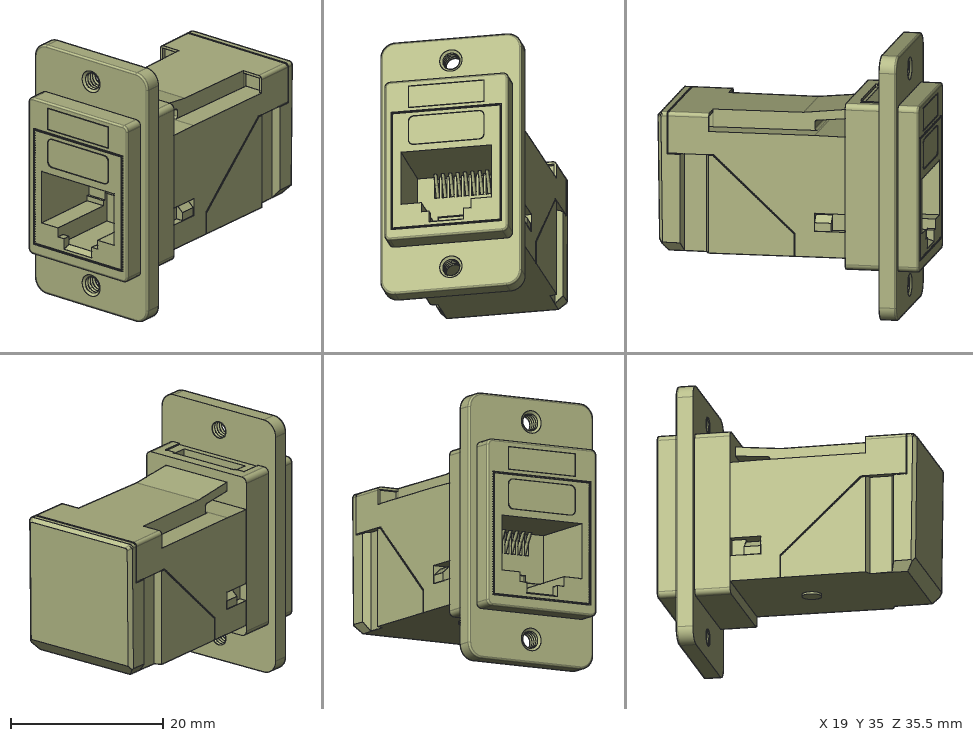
import cadquery as cq


PLATE_WIDTH = 19.0
PLATE_HEIGHT = 35.5
PLATE_FRONT = 2.8
PLATE_REAR = 5.1
PLATE_CORNER = 2.0
EDGE_ROUND = 0.25

SCREW_Z = 14.55
THREAD_MINOR = 2.27
THREAD_MAJOR = 3.0
THREAD_PITCH = 0.5

BEZEL_WIDTH = 16.65
BEZEL_HEIGHT = 22.3
BEZEL_REAR = 9.87
BEZEL_CORNER = 0.75
BEZEL_TOP = BEZEL_HEIGHT / 2

LABEL_WIDTH = 10.2
LABEL_TOP = 10.33
LABEL_BOTTOM = 7.3
BADGE_TOP = 6.07
BADGE_BOTTOM = 2.05
BADGE_CORNER = 0.7
MARK_DEPTH = 0.1

GAP_WIDTH = 0.18
GAP_DEPTH = 0.15
JACK_WIDTH = 14.55
JACK_TOP = 6.65
JACK_BOTTOM = -9.5

SOCKET_WIDTH = 12.18
SOCKET_TOP = 1.05
SOCKET_FLOOR = -6.3
SOCKET_DEPTH = 9.95
SOCKET_STEP = 0.35
SOCKET_RISER_TOP = -5.57
CLIP_WIDTH = 6.67
CLIP_FLOOR = -8.7
CLIP_LIP_TOP = -7.55
CLIP_LIP_DEPTH = 1.05
CLIP_TOP = -4.55
CLIP_NOTCH_WIDTH = 4.65
CLIP_NOTCH_FLOOR = -9.05

CONTACT_COUNT = 8
CONTACT_PITCH = 1.0
CONTACT_SLOT_WIDTH = 0.65
CONTACT_BOTTOM = -1.85
CONTACT_SLOT_DEPTH = 0.7
CONTACT_DIAMETER = 0.45
CONTACT_ELBOW_Z = -0.1
CONTACT_FOOT_RUN = 0.9
CONTACT_RISE_RUN = 0.9

LATCH_FRONT = 6.0
LATCH_TIP = 7.9
LATCH_REAR = 8.38
LATCH_LEDGE_DEPTH = 0.35
LATCH_RAMP_DEPTH = 1.95
LATCH_RELIEF_WIDTH = 13.15
LATCH_RELIEF_REAR = 8.13
LATCH_RELIEF_DEPTH = 0.18

BODY_REAR = 35.0
BODY_HALF_FRONT = 8.3
BODY_HALF_REAR = 8.6
BODY_TOP = 9.2
BODY_BOTTOM = -9.55
BODY_TOP_ROUND = 0.5
REAR_CHAMFER = 0.5
REAR_FOOT_Y = 34.8
REAR_FOOT_Z = -7.9
REAR_FOOT_END = 33.62

SHOULDER_Z = 6.8
SHOULDER_FRONT_Z = 6.75
SHOULDER_BREAK = 13.95
SHOULDER_REAR = 28.1
ARM_HALF_FRONT = 5.08
ARM_HALF_REAR = 5.43
ARM_BEND = 16.05
ARM_FRONT_TOP = 9.85
ARM_FRONT_UNDERSIDE = 8.6
ARM_SLOT_REAR = 14.52
ARM_SLOT_TOP = 8.15
ARM_SLOT_ROUND = 0.3

LUG_WALL = 0.35
LUG_POCKET_DEPTH = 0.55

SEAM_WIDTH = 0.1
SEAM_FLOOR_X = 8.3
SEAM_TOP_DEPTH = 0.1
CAP_FRONT = 33.6
CAP_LEDGE_Z = 3.7
CAP_SLOPE_TOP_Y = 27.5
CAP_SLOPE_END_Y = 16.58
CAP_SLOPE_END_Z = -6.5
GRIP_FRONT = 28.15
GRIP_REAR = 31.95
GRIP_WALL_RUN = 0.43
GRIP_DEPTH = 1.0
CAP_SIDE_CHAMFER_X = 1.05
CAP_SIDE_CHAMFER_Z = 1.28

WINDOW_REAR = 14.0
WINDOW_TOP = -3.65
WINDOW_BOTTOM = -6.07
WINDOW_DEPTH = 1.05
CATCH_FRONT = 11.75
CATCH_TOP = -4.0
CATCH_SIDE_TOP = -4.95
CATCH_INSET = 0.07

PAD_DIAMETER = 2.6
PAD_Y = 19.05
PAD_HEIGHT = 0.3

PAST = 1.78
PICK_MARGIN = 0.35


def block(width, y_start, y_end, z_bottom, z_top):
    """Box centred on X between the given Y and Z limits."""
    size = (width, y_end - y_start, z_top - z_bottom)
    box = cq.Workplane("XY").box(*size, centered=(True, False, False))
    return box.translate((0, y_start, z_bottom))


def side_prism(points, half_width):
    """Prism with a Y-Z outline, centred on X."""
    return cq.Workplane("YZ").polyline(points).close().extrude(half_width, both=True)


def plan_prism(points, z_bottom, z_top):
    """Prism with an X-Y outline."""
    plane = cq.Workplane("XY", origin=(0, 0, z_bottom))
    return plane.polyline(points).close().extrude(z_top - z_bottom)


def on_both_sides(cutter):
    """The given shape together with its mirror image across the middle."""
    return cutter.union(cutter.mirror("YZ"))


def body_half_width(y):
    """Half width of the body at y; it widens evenly from the bezel to the rear."""
    share = (y - BEZEL_REAR) / (BODY_REAR - BEZEL_REAR)
    return BODY_HALF_FRONT + (BODY_HALF_REAR - BODY_HALF_FRONT) * share


def rounded_slab(width, height, corner, y_start, y_end):
    """Upright slab with rounded corners and a rounded front edge."""
    slab = block(width, y_start, y_end, -height / 2, height / 2).edges("|Y").fillet(corner)
    return slab.faces("<Y").edges().fillet(EDGE_ROUND)


def threaded_hole():
    """Cutter for one screw hole, with V-shaped thread rings."""
    minor = THREAD_MINOR / 2
    major = THREAD_MAJOR / 2
    turns = int((PLATE_REAR - PLATE_FRONT) / THREAD_PITCH)
    outline = cq.Workplane("XY").moveTo(0, PLATE_FRONT - THREAD_PITCH / 2)
    outline = outline.lineTo(major, PLATE_FRONT - THREAD_PITCH / 2).lineTo(major, PLATE_FRONT)
    for turn in range(turns):
        valley = PLATE_FRONT + (turn + 0.5) * THREAD_PITCH
        outline = outline.lineTo(minor, valley).lineTo(major, valley + THREAD_PITCH / 2)
    end = PLATE_FRONT + turns * THREAD_PITCH
    outline = outline.lineTo(minor, end + THREAD_PITCH / 2).lineTo(minor, PLATE_REAR + PAST)
    return outline.lineTo(0, PLATE_REAR + PAST).close().revolve(360, (0, 0, 0), (0, 1, 0))


def front_panel():
    """Plate and bezel with the screw holes."""
    plate = rounded_slab(PLATE_WIDTH, PLATE_HEIGHT, PLATE_CORNER, PLATE_FRONT, PLATE_REAR)
    for z in (-SCREW_Z, SCREW_Z):
        plate = plate.cut(threaded_hole().translate((0, 0, z)))
    return plate.union(rounded_slab(BEZEL_WIDTH, BEZEL_HEIGHT, BEZEL_CORNER, 0, BEZEL_REAR))


def jack_body():
    """Main body with its spring arm, before the side details are cut."""
    outline = [
        (BEZEL_REAR, BODY_BOTTOM),
        (REAR_FOOT_END, BODY_BOTTOM),
        (REAR_FOOT_Y, REAR_FOOT_Z),
        (BODY_REAR, BODY_TOP - REAR_CHAMFER),
        (BODY_REAR - REAR_CHAMFER, BODY_TOP),
        (ARM_BEND, BODY_TOP),
        (BEZEL_REAR, ARM_FRONT_TOP),
    ]
    plan = [
        (-BODY_HALF_FRONT, BEZEL_REAR),
        (BODY_HALF_FRONT, BEZEL_REAR),
        (BODY_HALF_REAR, BODY_REAR),
        (-BODY_HALF_REAR, BODY_REAR),
    ]
    body = side_prism(outline, BODY_HALF_REAR + PAST)
    body = body.intersect(plan_prism(plan, BODY_BOTTOM - PAST, ARM_FRONT_TOP + PAST))
    rear_sides = cq.selectors.BoxSelector(
        (-PLATE_WIDTH, REAR_FOOT_END, REAR_FOOT_Z + PICK_MARGIN),
        (PLATE_WIDTH, BODY_REAR + PICK_MARGIN, BODY_TOP - REAR_CHAMFER - PICK_MARGIN),
    )
    body = body.edges(rear_sides).edges("not |X").chamfer(REAR_CHAMFER)
    top_sides = cq.selectors.BoxSelector(
        (-PLATE_WIDTH, ARM_BEND, BODY_TOP - PICK_MARGIN),
        (PLATE_WIDTH, BODY_REAR, BODY_TOP + PICK_MARGIN),
    )
    body = body.edges(top_sides).edges("not |X").edges("not |Z").fillet(BODY_TOP_ROUND)
    return body.cut(shoulders()).cut(lug_pockets()).cut(arm_slot())


def shoulders():
    """Open space on each side of the spring arm."""
    plan = [
        (ARM_HALF_FRONT, BEZEL_REAR),
        (ARM_HALF_REAR, SHOULDER_REAR),
        (BODY_HALF_REAR + PAST, SHOULDER_REAR),
        (BODY_HALF_REAR + PAST, BEZEL_REAR),
    ]
    top = ARM_FRONT_TOP + PAST
    outline = [
        (BEZEL_REAR, SHOULDER_FRONT_Z),
        (SHOULDER_BREAK, SHOULDER_Z),
        (SHOULDER_REAR, SHOULDER_Z),
        (SHOULDER_REAR, top),
        (BEZEL_REAR, top),
    ]
    space = plan_prism(plan, SHOULDER_FRONT_Z, top)
    return on_both_sides(space.intersect(side_prism(outline, BODY_HALF_REAR + PAST)))


def lug_pockets():
    """Pocket in the wall behind each shoulder, open towards the front."""
    outer = body_half_width(SHOULDER_REAR) - LUG_WALL
    back = SHOULDER_REAR + LUG_POCKET_DEPTH
    pockets = block(2 * outer, SHOULDER_REAR, back, SHOULDER_Z, BODY_TOP - LUG_WALL)
    return pockets.cut(block(2 * ARM_HALF_REAR, SHOULDER_REAR, back, SHOULDER_Z, BODY_TOP))


def arm_slot():
    """Gap that frees the front of the spring arm."""
    outline = [
        (BEZEL_REAR, SHOULDER_FRONT_Z),
        (SHOULDER_BREAK, SHOULDER_Z),
        (ARM_SLOT_REAR, SHOULDER_Z),
        (ARM_SLOT_REAR, ARM_SLOT_TOP),
        (BEZEL_REAR, ARM_FRONT_UNDERSIDE),
    ]
    return side_prism(outline, BODY_HALF_REAR + PAST).edges(">Y and |X").fillet(ARM_SLOT_ROUND)


def cap_seam():
    """Narrow seam around the rear cap, on both sides and across the top."""
    past_rear = BODY_REAR + PAST
    past_bottom = BODY_BOTTOM - PAST
    past_top = BODY_TOP + PAST
    cap = [
        (CAP_FRONT, past_top),
        (CAP_FRONT, CAP_LEDGE_Z),
        (CAP_SLOPE_TOP_Y, CAP_LEDGE_Z),
        (CAP_SLOPE_END_Y, CAP_SLOPE_END_Z),
        (CAP_SLOPE_END_Y, past_bottom),
        (past_rear, past_bottom),
        (past_rear, past_top),
    ]
    plane = cq.Workplane("YZ", origin=(SEAM_FLOOR_X, 0, 0))
    outer = plane.polyline(cap).close().extrude(PAST)
    inner = plane.polyline(cap).close().offset2D(-SEAM_WIDTH).extrude(PAST)
    top_line = block(
        PLATE_WIDTH, CAP_FRONT, CAP_FRONT + SEAM_WIDTH, BODY_TOP - SEAM_TOP_DEPTH, past_top
    )
    return on_both_sides(outer.cut(inner)).union(top_line)


def finger_grips():
    """Upright recess in each side of the cap."""
    x_out = BODY_HALF_REAR + PAST
    x_face = body_half_width(GRIP_REAR)
    x_floor = x_face - GRIP_DEPTH
    plan = [
        (x_out, GRIP_FRONT),
        (x_face, GRIP_FRONT),
        (x_floor, GRIP_FRONT + GRIP_WALL_RUN),
        (x_floor, GRIP_REAR - GRIP_WALL_RUN),
        (x_face, GRIP_REAR),
        (x_out, GRIP_REAR),
    ]
    return on_both_sides(plan_prism(plan, BODY_BOTTOM - PAST, CAP_LEDGE_Z))


def cap_side_chamfers():
    """Bevel along the lower side edges of the cap, behind the grips."""
    middle = (GRIP_FRONT + GRIP_REAR) / 2
    corner = [
        (BODY_HALF_REAR, BODY_BOTTOM),
        (BODY_HALF_REAR - CAP_SIDE_CHAMFER_X, BODY_BOTTOM),
        (BODY_HALF_REAR, BODY_BOTTOM + CAP_SIDE_CHAMFER_Z),
    ]
    plane = cq.Workplane("XZ", origin=(0, middle, 0))
    return on_both_sides(plane.polyline(corner).close().extrude(middle - BODY_REAR - PAST))


def side_windows():
    """Window in each side with a ramped catch, open across the body above the catch."""
    x_out = BODY_HALF_REAR + PAST
    x_floor = BODY_HALF_FRONT - WINDOW_DEPTH
    x_catch = BODY_HALF_FRONT - CATCH_INSET
    window = block(2 * x_out, BEZEL_REAR, WINDOW_REAR, WINDOW_BOTTOM, WINDOW_TOP)
    window = window.cut(block(2 * x_floor, BEZEL_REAR, WINDOW_REAR, WINDOW_BOTTOM, WINDOW_TOP))
    catch_outline = [
        (0, WINDOW_BOTTOM),
        (x_catch, WINDOW_BOTTOM),
        (x_catch, CATCH_SIDE_TOP),
        (x_floor, CATCH_TOP),
        (0, CATCH_TOP),
    ]
    plane = cq.Workplane("XZ", origin=(0, CATCH_FRONT, 0))
    catch = plane.polyline(catch_outline).close().extrude(CATCH_FRONT - WINDOW_REAR)
    opening = block(2 * x_out, CATCH_FRONT, WINDOW_REAR, CATCH_TOP, WINDOW_TOP)
    return window.cut(on_both_sides(catch)).union(opening)


def front_marks():
    """Label window, badge field and the gap around the jack."""
    label = block(LABEL_WIDTH, -PAST, MARK_DEPTH, LABEL_BOTTOM, LABEL_TOP)
    badge = block(LABEL_WIDTH, -PAST, MARK_DEPTH, BADGE_BOTTOM, BADGE_TOP)
    badge = badge.edges("|Y").fillet(BADGE_CORNER)
    gap = block(
        JACK_WIDTH + 2 * GAP_WIDTH, -PAST, GAP_DEPTH, JACK_BOTTOM - GAP_WIDTH, JACK_TOP + GAP_WIDTH
    )
    gap = gap.cut(block(JACK_WIDTH, -PAST, GAP_DEPTH, JACK_BOTTOM, JACK_TOP))
    return label.union(badge).union(gap)


def latch_opening():
    """Opening in the bezel top with a ramp, inside a shallow relief."""
    ledge = BEZEL_TOP - LATCH_LEDGE_DEPTH
    outline = [
        (LATCH_FRONT, BEZEL_TOP + PAST),
        (LATCH_FRONT, BEZEL_TOP - LATCH_RAMP_DEPTH),
        (LATCH_TIP, ledge),
        (LATCH_REAR, ledge),
        (LATCH_REAR, BEZEL_TOP + PAST),
    ]
    relief = block(
        LATCH_RELIEF_WIDTH,
        PLATE_REAR,
        LATCH_RELIEF_REAR,
        BEZEL_TOP - LATCH_RELIEF_DEPTH,
        BEZEL_TOP + PAST,
    )
    return relief.union(side_prism(outline, LABEL_WIDTH / 2))


def plug_socket():
    """Socket for the plug, its clip channel and the contact slots."""
    back = SOCKET_DEPTH
    riser_back = back - SOCKET_STEP
    clip_back = back + SOCKET_STEP
    socket = block(SOCKET_WIDTH, -PAST, back, SOCKET_RISER_TOP, SOCKET_TOP)
    socket = socket.union(block(SOCKET_WIDTH, -PAST, riser_back, SOCKET_FLOOR, SOCKET_TOP))
    socket = socket.union(block(CLIP_WIDTH, -PAST, clip_back, CLIP_LIP_TOP, CLIP_TOP))
    socket = socket.union(block(CLIP_WIDTH, CLIP_LIP_DEPTH, clip_back, CLIP_FLOOR, CLIP_TOP))
    notch_outline = [
        (-PAST, CLIP_LIP_TOP),
        (-PAST, CLIP_NOTCH_FLOOR),
        (0, CLIP_NOTCH_FLOOR),
        (CLIP_LIP_DEPTH, CLIP_FLOOR),
        (CLIP_LIP_DEPTH, CLIP_LIP_TOP),
    ]
    socket = socket.union(side_prism(notch_outline, CLIP_NOTCH_WIDTH / 2))
    slot = block(
        CONTACT_SLOT_WIDTH, riser_back, back + CONTACT_SLOT_DEPTH, CONTACT_BOTTOM, SOCKET_TOP
    )
    for x in contact_places():
        socket = socket.union(slot.translate((x, 0, 0)))
    return socket


def contact_places():
    """X positions of the evenly spaced contacts."""
    middle = (CONTACT_COUNT - 1) / 2
    return [(index - middle) * CONTACT_PITCH for index in range(CONTACT_COUNT)]


def contacts():
    """Bent contact wires that rise forwards from their slots into the socket top."""
    foot_y = SOCKET_DEPTH + CONTACT_SLOT_DEPTH
    elbow_y = foot_y - CONTACT_FOOT_RUN
    path = cq.Workplane("YZ").polyline(
        [
            (foot_y, CONTACT_BOTTOM),
            (elbow_y, CONTACT_ELBOW_Z),
            (elbow_y - CONTACT_RISE_RUN, SOCKET_TOP + CONTACT_DIAMETER / 2),
        ]
    )
    direction = (0, -CONTACT_FOOT_RUN, CONTACT_ELBOW_Z - CONTACT_BOTTOM)
    foot = cq.Plane(origin=(0, foot_y, CONTACT_BOTTOM), xDir=(1, 0, 0), normal=direction)
    wire = cq.Workplane(foot).circle(CONTACT_DIAMETER / 2).sweep(path, transition="round")
    wires = cq.Workplane("XY")
    for x in contact_places():
        wires = wires.add(wire.translate((x, 0, 0)))
    return wires.combine()


def pad():
    """Round pad under the body."""
    plane = cq.Workplane("XY", origin=(0, PAD_Y, BODY_BOTTOM - PAD_HEIGHT))
    return plane.circle(PAD_DIAMETER / 2).extrude(2 * PAD_HEIGHT)


body = jack_body()
for cutter in (cap_seam(), finger_grips(), cap_side_chamfers(), side_windows()):
    body = body.cut(cutter)

result = front_panel().union(body).union(pad())
for cutter in (front_marks(), latch_opening(), plug_socket()):
    result = result.cut(cutter)
result = result.union(contacts())